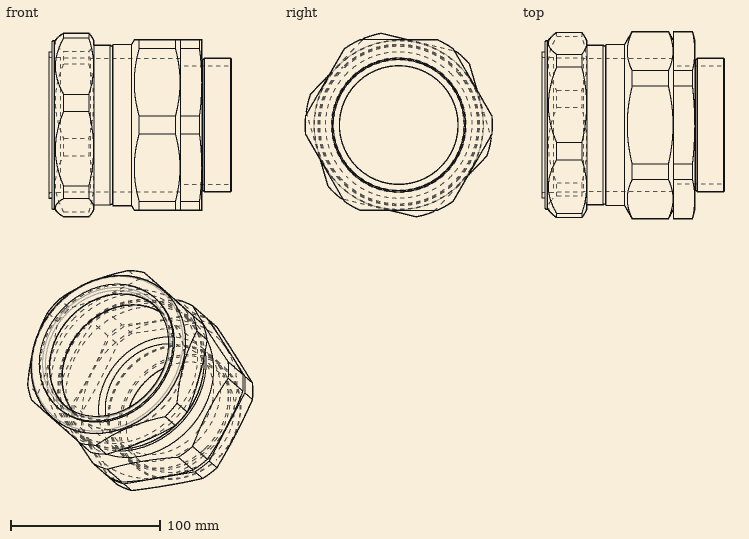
import cadquery as cq
import math


NUT_CORNER_RADIUS = 62.7
NUT_FLAT_DISTANCE = 57.0
NUT_TURN = -13.7
BODY_CORNER_RADIUS = 62.8
BODY_FLAT_DISTANCE = 57.2

RING_RADIUS = 49.1
COLLAR_START = 2.0
COLLAR_RADIUS = 56.5
COLLAR_FILLET = 1.1
NUT_START = 3.9
NUT_CORNER_START = 9.9
NUT_CORNER_END = 26.9
NUT_END = 30.3
NUT_END_RADIUS = 56.7

FRONT_SLEEVE_RADIUS = 53.7
REAR_SLEEVE_RADIUS = 54.2
GROOVE_RADIUS = 52.9
GROOVE_START = 41.0
GROOVE_BOTTOM = 42.6
GROOVE_END = 43.1

BODY_START = 55.5
BODY_CORNER_START = 60.6
BODY_CORNER_END = 85.0
FLANGE_START = 88.2
FLANGE_CORNER_END = 101.0
FLANGE_END = 102.7
BODY_END_RADIUS = 56.8

SPIGOT_RADIUS = 44.9
SPIGOT_START = 104.3
NECK_POSITION = 103.4
NECK_RADIUS = 43.7
NECK_ROOT_RADIUS = 44.2
SPIGOT_CHAMFER = 0.9
LENGTH = 122.7

MOUTH_RADIUS = 45.2
MOUTH_FILLET = 1.5
LINER_START = 7.9
LINER_RADIUS = 45.0
LINER_END = 28.0
CHAMBER_RADIUS = 44.7
BORE_RADIUS = 39.7


def revolve_about_x(outline):
    """Close an outline drawn as (x, radius) and revolve it about X."""
    return outline.close().revolve(360, (0, 0, 0), (1, 0, 0))


def turned(points):
    """Solid of revolution under a chain of (x, radius) points."""
    on_axis_start = (points[0][0], 0)
    on_axis_end = (points[-1][0], 0)
    return revolve_about_x(cq.Workplane("XY").polyline([on_axis_start, *points, on_axis_end]))


def hexagon(start, end, flat_distance, turn):
    """Hexagonal bar along X; unturned, it has flats facing +Z and -Z."""
    across_corners = 2 * flat_distance / math.cos(math.pi / 6)
    bar = cq.Workplane("YZ", origin=(start, 0, 0)).polygon(6, across_corners).extrude(end - start)
    return bar.rotate((0, 0, 0), (1, 0, 0), turn)


def entry_collar():
    ring = turned([(0, RING_RADIUS), (NUT_START, RING_RADIUS)])
    collar = turned([(COLLAR_START, COLLAR_RADIUS), (NUT_START, COLLAR_RADIUS)])
    return ring.union(collar.faces("<X").edges().fillet(COLLAR_FILLET))


def clamping_nut():
    envelope = turned([
        (NUT_START, COLLAR_RADIUS),
        (NUT_CORNER_START, NUT_CORNER_RADIUS),
        (NUT_CORNER_END, NUT_CORNER_RADIUS),
        (NUT_END, NUT_END_RADIUS),
    ])
    return envelope.intersect(hexagon(NUT_START, NUT_END, NUT_FLAT_DISTANCE, NUT_TURN))


def sleeves():
    return turned([
        (NUT_END, FRONT_SLEEVE_RADIUS),
        (GROOVE_START, FRONT_SLEEVE_RADIUS),
        (GROOVE_BOTTOM, GROOVE_RADIUS),
        (GROOVE_END, REAR_SLEEVE_RADIUS),
        (BODY_START, REAR_SLEEVE_RADIUS),
    ])


def body_hexagon():
    envelope = turned([
        (BODY_START, REAR_SLEEVE_RADIUS),
        (BODY_CORNER_START, BODY_CORNER_RADIUS),
        (BODY_CORNER_END, BODY_CORNER_RADIUS),
        (FLANGE_START, BODY_END_RADIUS),
        (FLANGE_START, BODY_CORNER_RADIUS),
        (FLANGE_CORNER_END, BODY_CORNER_RADIUS),
        (FLANGE_END, BODY_END_RADIUS),
    ])
    return envelope.intersect(hexagon(BODY_START, FLANGE_END, BODY_FLAT_DISTANCE, 0))


def spigot():
    return turned([
        (FLANGE_END, NECK_ROOT_RADIUS),
        (NECK_POSITION, NECK_RADIUS),
        (SPIGOT_START, SPIGOT_RADIUS),
        (LENGTH - SPIGOT_CHAMFER, SPIGOT_RADIUS),
        (LENGTH, SPIGOT_RADIUS - SPIGOT_CHAMFER),
    ])


def bore():
    """Stepped hollow: rounded mouth, liner, chamber, then the through bore."""
    fillet_middle = MOUTH_FILLET * (1 - math.sqrt(0.5))
    outline = (
        cq.Workplane("XY")
        .lineTo(0, MOUTH_RADIUS + MOUTH_FILLET)
        .threePointArc((fillet_middle, MOUTH_RADIUS + fillet_middle), (MOUTH_FILLET, MOUTH_RADIUS))
        .lineTo(LINER_START, MOUTH_RADIUS)
        .lineTo(LINER_START, LINER_RADIUS)
        .lineTo(LINER_END, LINER_RADIUS)
        .lineTo(LINER_END, CHAMBER_RADIUS)
        .lineTo(FLANGE_START, CHAMBER_RADIUS)
        .lineTo(FLANGE_START, BORE_RADIUS)
        .lineTo(LENGTH, BORE_RADIUS)
        .lineTo(LENGTH, 0)
    )
    return revolve_about_x(outline)


outside = entry_collar()
for section in (clamping_nut(), sleeves(), body_hexagon(), spigot()):
    outside = outside.union(section)

result = outside.cut(bore())